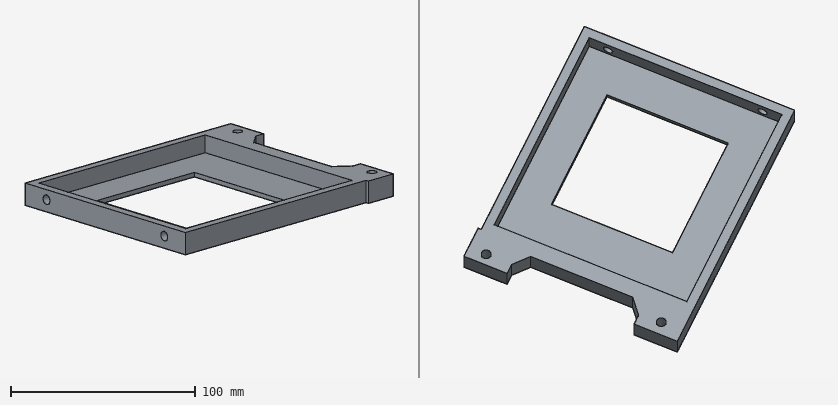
import cadquery as cq

length = 155.2
height = 12.7
body_width = 125.1
tab_overhang = 1.9
tab_length = 19.0
overall_width = body_width + tab_overhang

notch_mouth = 75.5
notch_floor = 60.7
notch_depth = 14.7
notch_straight = 6.0

wall = 5.3
rear_rail = 24.4
floor_thickness = 2.6
pocket_width = body_width - 2 * wall
pocket_length = length - wall - rear_rail

window_width = 72.0
window_length = 73.5
window_left = 26.9
window_front = 28.4

hole_diameter = 5.3
lug_holes = [(12.7, 148.1), (116.5, 149.2)]
front_hole_xs = [16.8, 108.7]
front_hole_z = 7.0


def corner_box(x, y, z, size_x, size_y, size_z):
    """Box with its lowest corner at (x, y, z)."""
    return cq.Workplane("XY").box(size_x, size_y, size_z, centered=False).translate((x, y, z))


def make_body():
    """Rectangular plate with a small side tab at the rear right corner."""
    plate = corner_box(0, 0, 0, body_width, length, height)
    tab = corner_box(body_width, length - tab_length, 0, tab_overhang, tab_length, height)
    return plate.union(tab)


def make_notch():
    """Notch with straight sides at its mouth and slanted sides down to its floor."""
    middle = overall_width / 2
    half_mouth = notch_mouth / 2
    half_floor = notch_floor / 2
    slant_start = length - notch_straight
    floor_y = length - notch_depth
    return (
        cq.Workplane("XY")
        .moveTo(middle - half_mouth, length)
        .lineTo(middle - half_mouth, slant_start)
        .lineTo(middle - half_floor, floor_y)
        .lineTo(middle + half_floor, floor_y)
        .lineTo(middle + half_mouth, slant_start)
        .lineTo(middle + half_mouth, length)
        .close()
        .extrude(height)
    )


def make_lug_holes():
    """Vertical holes through the two rear lugs."""
    return cq.Workplane("XY").pushPoints(lug_holes).circle(hole_diameter / 2).extrude(height)


def make_front_holes():
    """Horizontal holes through the front wall into the pocket."""
    centers = [(x, front_hole_z) for x in front_hole_xs]
    return cq.Workplane("XZ").pushPoints(centers).circle(hole_diameter / 2).extrude(-wall)


pocket = corner_box(wall, wall, floor_thickness, pocket_width, pocket_length, height - floor_thickness)
window = corner_box(window_left, window_front, 0, window_width, window_length, floor_thickness)

result = (
    make_body()
    .cut(make_notch())
    .cut(pocket)
    .cut(window)
    .cut(make_lug_holes())
    .cut(make_front_holes())
)